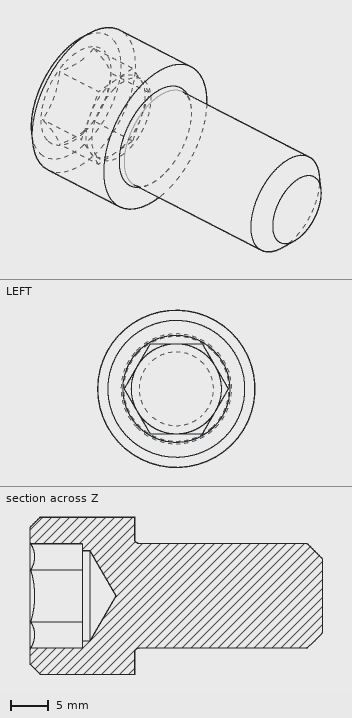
import cadquery as cq
import math

total_length = 39.0
head_diameter = 21.0
head_length = 14.0
head_chamfer = 1.35
shank_diameter = 14.0
tip_chamfer = 2.05

neck_length = 0.6
neck_flare = 0.35

socket_flats = 12.0
socket_depth = 7.0
lead_in_diameter = 14.27
lead_in_angle = 60.0
bore_diameter = socket_flats
bore_length = 1.0
floor_angle = 60.0

head_radius = head_diameter / 2
shank_radius = shank_diameter / 2
neck_radius = shank_radius + neck_flare


def cone(start_x, diameter, half_angle):
    """Cone narrowing to its apex in the +X direction."""
    radius = diameter / 2
    apex_x = start_x + radius / math.tan(math.radians(half_angle))
    profile = cq.Workplane("XY").polyline([(start_x, 0), (start_x, radius), (apex_x, 0)]).close()
    return profile.revolve(360, (0, 0, 0), (1, 0, 0))


def screw_body():
    """Chamfered head and shank turned about X."""
    arc_radius = (neck_length**2 + neck_flare**2) / (2 * neck_flare)
    middle_x = neck_length / 2
    middle_rise = arc_radius - math.sqrt(arc_radius**2 - middle_x**2)
    profile = (
        cq.Workplane("XY")
        .moveTo(0, 0)
        .lineTo(0, head_radius - head_chamfer)
        .lineTo(head_chamfer, head_radius)
        .lineTo(head_length, head_radius)
        .lineTo(head_length, neck_radius)
        .threePointArc(
            (head_length + middle_x, shank_radius + middle_rise),
            (head_length + neck_length, shank_radius),
        )
        .lineTo(total_length - tip_chamfer, shank_radius)
        .lineTo(total_length, shank_radius - tip_chamfer)
        .lineTo(total_length, 0)
        .close()
    )
    return profile.revolve(360, (0, 0, 0), (1, 0, 0))


def hex_socket():
    """Hexagonal hole with two opposite corners on the Y axis."""
    corner_diameter = socket_flats / math.cos(math.pi / 6)
    return cq.Workplane("YZ").polygon(6, corner_diameter).extrude(socket_depth)


def round_bore():
    """Round bore continuing from the bottom of the hexagon."""
    return cq.Workplane("YZ", origin=(socket_depth, 0, 0)).circle(bore_diameter / 2).extrude(bore_length)


result = (
    screw_body()
    .cut(hex_socket())
    .cut(cone(0, lead_in_diameter, lead_in_angle))
    .cut(round_bore())
    .cut(cone(socket_depth + bore_length, bore_diameter, floor_angle))
)